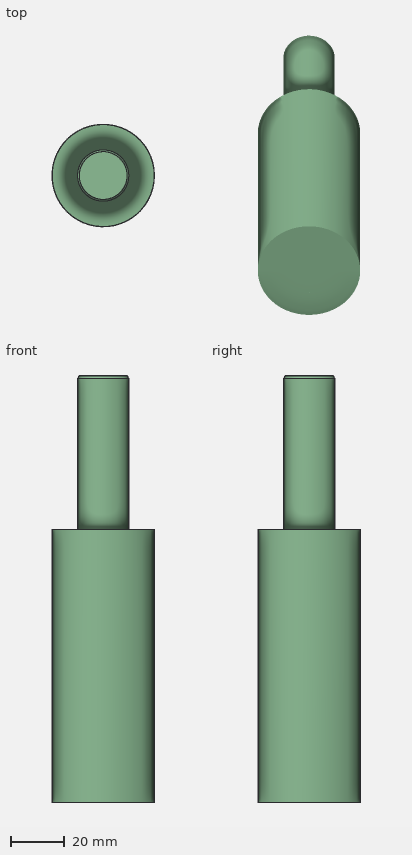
import cadquery as cq

total_length = 158.8
grip_length = 101.6
grip_diameter = 38.1
rod_diameter = 19.0
rod_chamfer_height = 1.1
rod_chamfer_width = 0.6


def make_rod():
    """Straight pin running the full length, with a chamfered upper end."""
    rod = cq.Workplane("XY").circle(rod_diameter / 2).extrude(total_length)
    return rod.faces(">Z").chamfer(rod_chamfer_height, rod_chamfer_width)


def make_grip():
    """Cylindrical sleeve around the lower part of the rod."""
    return (
        cq.Workplane("XY")
        .circle(grip_diameter / 2)
        .circle(rod_diameter / 2)
        .extrude(grip_length)
    )


rod = make_rod()
grip = make_grip()

result = cq.Compound.makeCompound([rod.val(), grip.val()])